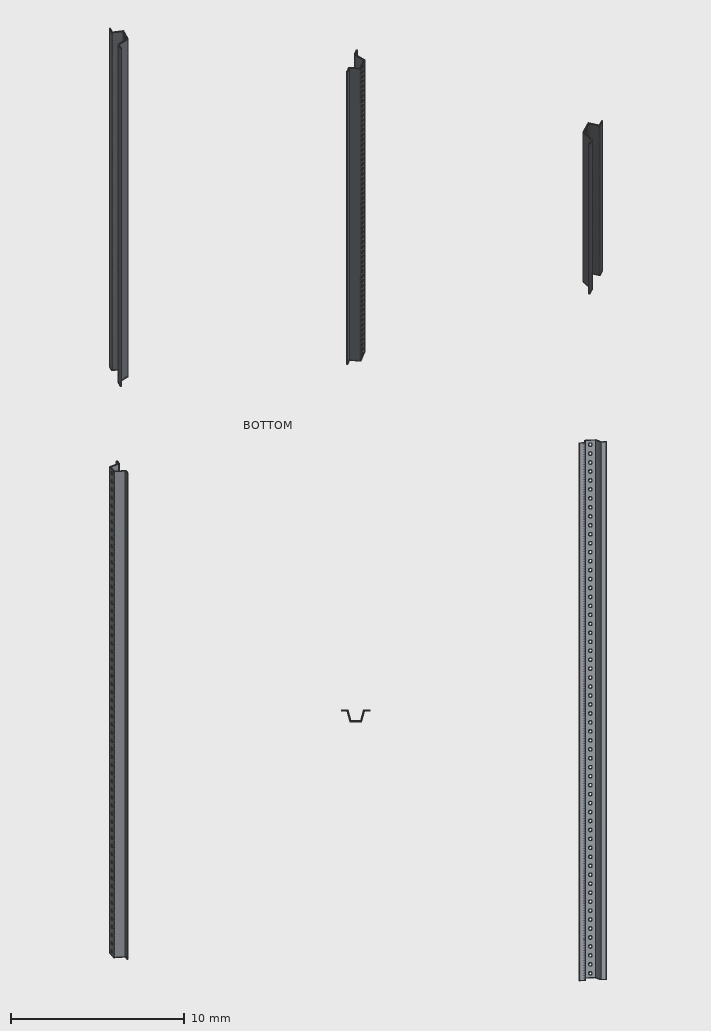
import cadquery as cq
import math

length = 31.75
width = 1.62
depth = 0.7

thickness = 0.067
crown_width = 0.67
leg_angle = 15.0
foot_radius = 0.05
flange_tip_radius = 0.03

hole_diameter = 0.2
hole_count = 60
hole_pitch = length / hole_count

back = depth / 2
front = -depth / 2
crown_inside = back - thickness
flange_back = front + thickness

leg_slope = math.tan(math.radians(leg_angle))
leg_wall = thickness / math.cos(math.radians(leg_angle))


def leg_outside(y):
    """X of the outer face of the right leg at level y."""
    return crown_width / 2 + leg_slope * (back - y)


def leg_inside(y):
    """X of the inner face of the right leg at level y."""
    return leg_outside(y) - leg_wall


foot_corner = (leg_inside(front), front)
flange_tip = (width / 2, front)


def round_corner_pair(body, corner, radius):
    """Round the lengthwise edges at a section corner and at its mirror image."""
    x, y = corner
    for side in (-1, 1):
        nearest = cq.selectors.NearestToPointSelector((side * x, y, 0))
        body = body.edges("|Z").edges(nearest).fillet(radius)
    return body


def make_rail():
    """Hat-shaped rail, symmetric about the YZ plane and centred along Z."""
    right = [
        (leg_outside(back), back),
        (leg_outside(flange_back), flange_back),
        (width / 2, flange_back),
        flange_tip,
        foot_corner,
        (leg_inside(crown_inside), crown_inside),
    ]
    left = [(-x, y) for x, y in reversed(right)]
    rail = (
        cq.Workplane("XY", origin=(0, 0, -length / 2))
        .polyline(right + left)
        .close()
        .extrude(length)
    )
    rail = round_corner_pair(rail, foot_corner, foot_radius)
    return round_corner_pair(rail, flange_tip, flange_tip_radius)


def crown_holes():
    """Row of round cutters through the crown, evenly spaced along the rail."""
    return (
        cq.Workplane("XZ", origin=(0, back, 0))
        .rarray(0.32, hole_pitch, 1, hole_count)
        .circle(hole_diameter / 2)
        .extrude(depth)
    )


result = make_rail().cut(crown_holes())